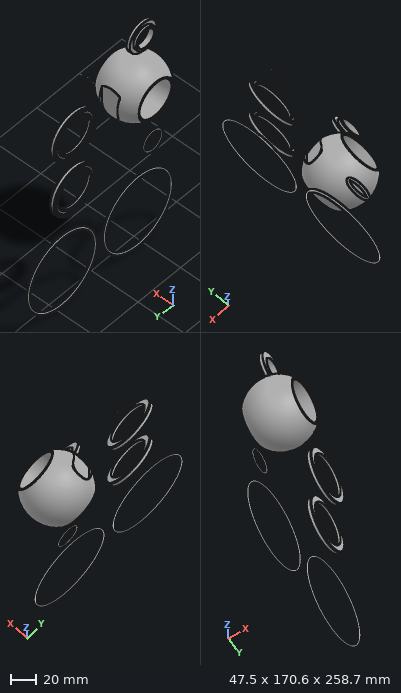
import cadquery as cq
import math


BALL_DIA = 63.0
BALL_LENGTH = 47.5
BALL_BORE_DIA = 38.0
BALL_FACE_DIA = 41.0
BALL_BORE_CHAMFER = 0.9
RIM_LENGTH = 0.8
SLOT_WIDTH = 19.1
SLOT_FLOOR_Y = 27.0
SLOT_ROUND_END_Z = -16.8

FLANGE_DIA = 31.8
BOSS_DIA = 23.5
BUSH_BORE_DIA = 19.1
FLANGE_THICKNESS = 3.5
BOSS_HEIGHT = 3.0
BUSH_POSITION = (-10.9, 1.0, 65.2)

SEAT_DIA = 50.7
SEAT_BORE_DIA = 38.0
SEAT_MOUTH_DIA = 39.8
SEAT_RECESS_DIA = 44.7
SEAT_RECESS_DEPTH = 0.65
SEAT_THICKNESS = 4.7
SEAT_CHAMFER = 0.5
SEAT_POSITIONS = [(-8.3, 77.5, 9.0), (-8.3, 77.5, -55.0)]

WASHER_DIA = 23.8
WASHER_BORE_DIA = 19.1
WASHER_THICKNESS = 1.5
WASHER_POSITION = (-9.3, 72.0, 59.7)

SMALL_RING_DIA = 23.8
SMALL_RING_TUBE_DIA = 2.5
SMALL_RING_POSITION = (-16.3, -4.1, -56.5)
LARGE_RING_DIA = 81.5
LARGE_RING_TUBE_DIA = 2.8
LARGE_RING_POSITIONS = [(-9.0, 94.6, -135.0), (-9.0, 5.5, -136.8)]


def revolve_about_x(profile):
    """Turn an (x, radius) profile once round the X axis."""
    return profile.revolve(360, (0, 0, 0), (1, 0, 0))


def make_tube(outer_dia, inner_dia, length):
    """Plain ring that starts at x = 0 and runs toward +X."""
    return cq.Workplane("YZ").circle(outer_dia / 2).circle(inner_dia / 2).extrude(length)


def make_ball():
    ball_radius = BALL_DIA / 2
    half_length = BALL_LENGTH / 2
    rim_x = half_length - RIM_LENGTH
    rim_radius = math.sqrt(ball_radius**2 - rim_x**2)
    bore_radius = BALL_BORE_DIA / 2
    face_radius = BALL_FACE_DIA / 2
    mouth_x = half_length - BALL_BORE_CHAMFER
    mouth_radius = bore_radius + BALL_BORE_CHAMFER
    ball = revolve_about_x(
        cq.Workplane("XY")
        .moveTo(-mouth_x, bore_radius)
        .lineTo(-half_length, mouth_radius)
        .lineTo(-half_length, face_radius)
        .lineTo(-rim_x, rim_radius)
        .threePointArc((0, ball_radius), (rim_x, rim_radius))
        .lineTo(half_length, face_radius)
        .lineTo(half_length, mouth_radius)
        .lineTo(mouth_x, bore_radius)
        .close()
    )
    end_radius = SLOT_WIDTH / 2
    end_centre_z = SLOT_ROUND_END_Z + end_radius
    slot = (
        cq.Workplane("XZ", origin=(0, SLOT_FLOOR_Y, 0))
        .moveTo(-end_radius, ball_radius)
        .lineTo(-end_radius, end_centre_z)
        .threePointArc((0, SLOT_ROUND_END_Z), (end_radius, end_centre_z))
        .lineTo(end_radius, ball_radius)
        .close()
        .extrude(-ball_radius)
    )
    return ball.cut(slot)


def make_bush():
    flange = make_tube(FLANGE_DIA, BUSH_BORE_DIA, FLANGE_THICKNESS)
    boss = make_tube(BOSS_DIA, BUSH_BORE_DIA, -BOSS_HEIGHT)
    return flange.union(boss).translate(BUSH_POSITION)


def make_seat(position):
    outer_radius = SEAT_DIA / 2
    bore_radius = SEAT_BORE_DIA / 2
    mouth_radius = SEAT_MOUTH_DIA / 2
    recess_radius = SEAT_RECESS_DIA / 2
    seat = revolve_about_x(
        cq.Workplane("XY")
        .moveTo(SEAT_RECESS_DEPTH + mouth_radius - bore_radius, bore_radius)
        .lineTo(SEAT_RECESS_DEPTH, mouth_radius)
        .lineTo(SEAT_RECESS_DEPTH, recess_radius)
        .lineTo(0, recess_radius + SEAT_RECESS_DEPTH)
        .lineTo(0, outer_radius - SEAT_CHAMFER)
        .lineTo(SEAT_CHAMFER, outer_radius)
        .lineTo(SEAT_THICKNESS - SEAT_CHAMFER, outer_radius)
        .lineTo(SEAT_THICKNESS, outer_radius - SEAT_CHAMFER)
        .lineTo(SEAT_THICKNESS, bore_radius)
        .close()
    )
    return seat.translate(position)


def make_washer():
    return make_tube(WASHER_DIA, WASHER_BORE_DIA, WASHER_THICKNESS).translate(WASHER_POSITION)


def make_o_ring(outer_dia, tube_dia, position):
    centre_radius = (outer_dia - tube_dia) / 2
    ring = revolve_about_x(cq.Workplane("XY").moveTo(0, centre_radius).circle(tube_dia / 2))
    return ring.translate(position)


ball = make_ball()
bush = make_bush()
seats = [make_seat(position) for position in SEAT_POSITIONS]
washer = make_washer()
small_o_ring = make_o_ring(SMALL_RING_DIA, SMALL_RING_TUBE_DIA, SMALL_RING_POSITION)
large_o_rings = [
    make_o_ring(LARGE_RING_DIA, LARGE_RING_TUBE_DIA, position)
    for position in LARGE_RING_POSITIONS
]

result = cq.Compound.makeCompound([
    ball.val(),
    bush.val(),
    *[seat.val() for seat in seats],
    washer.val(),
    small_o_ring.val(),
    *[ring.val() for ring in large_o_rings],
])